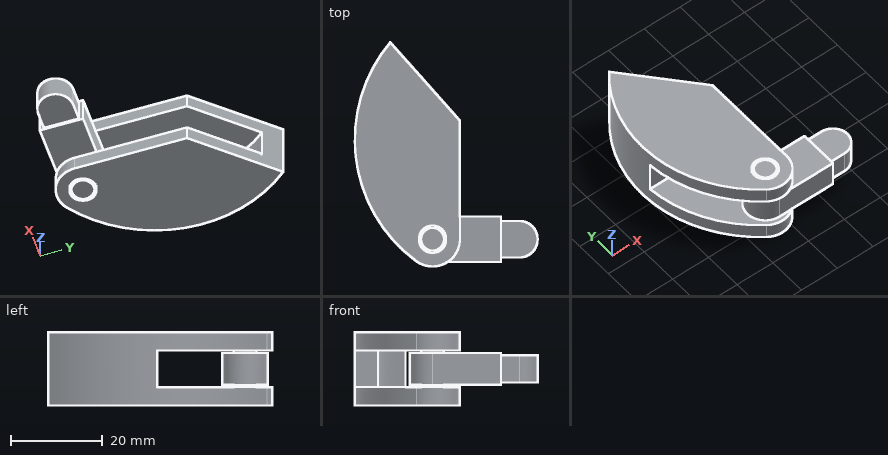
import cadquery as cq
import math


housing_length = 49
housing_height = 16.0
nose_radius = 6.0
apex_y = housing_length - nose_radius
straight_side_top_y = 25.9
back_radius = 32.95
back_left_x = -17.0
pivot_hole_diameter = 6.0

back_center_x = back_left_x + back_radius
back_center_y = math.sqrt((back_radius - nose_radius) ** 2 - back_center_x ** 2)

slot_height = 8.0
slot_wall_thickness = 5.0
slot_step_y = 19.15

arm_width = 10.0
arm_thickness = 7.0
arm_block_end_x = 15.0
tongue_width = 8.05
tongue_thickness = 6.0
arm_tip_x = 23.0
pin_diameter = 5.0


def centered_plate(outline, thickness):
    """Extrude a closed XY outline equally above and below Z = 0."""
    return outline.extrude(thickness / 2, both=True)


def make_housing_blank():
    apex_x = back_center_x - math.sqrt(back_radius ** 2 - (apex_y - back_center_y) ** 2)
    tangent_scale = nose_radius / (back_radius - nose_radius)
    tangent_point = (-back_center_x * tangent_scale, -back_center_y * tangent_scale)
    outline = (
        cq.Workplane("XY")
        .moveTo(nose_radius, 0)
        .lineTo(nose_radius, straight_side_top_y)
        .lineTo(apex_x, apex_y)
        .threePointArc((back_left_x, back_center_y), tangent_point)
        .threePointArc((0, -nose_radius), (nose_radius, 0))
        .close()
    )
    return centered_plate(outline, housing_height)


def make_slot_cutter():
    inner_disc = centered_plate(
        cq.Workplane("XY")
        .center(back_center_x, back_center_y)
        .circle(back_radius - slot_wall_thickness),
        slot_height,
    )
    lower_opening = centered_plate(
        cq.Workplane("XY")
        .moveTo(back_left_x, slot_step_y)
        .lineTo(nose_radius, slot_step_y)
        .lineTo(nose_radius, -nose_radius)
        .lineTo(back_left_x, -nose_radius)
        .close(),
        slot_height,
    )
    return inner_disc.union(lower_opening)


def make_housing():
    pivot_hole = centered_plate(cq.Workplane("XY").circle(pivot_hole_diameter / 2), housing_height)
    return make_housing_blank().cut(make_slot_cutter()).cut(pivot_hole)


def make_arm():
    half_width = arm_width / 2
    block = centered_plate(
        cq.Workplane("XY")
        .moveTo(0, -half_width)
        .lineTo(arm_block_end_x, -half_width)
        .lineTo(arm_block_end_x, half_width)
        .lineTo(0, half_width)
        .threePointArc((-half_width, 0), (0, -half_width))
        .close(),
        arm_thickness,
    )

    tip_radius = tongue_width / 2
    tip_center_x = arm_tip_x - tip_radius
    tongue = centered_plate(
        cq.Workplane("XY")
        .moveTo(arm_block_end_x, -tip_radius)
        .lineTo(tip_center_x, -tip_radius)
        .threePointArc((arm_tip_x, 0), (tip_center_x, tip_radius))
        .lineTo(arm_block_end_x, tip_radius)
        .close(),
        tongue_thickness,
    )

    pin = centered_plate(cq.Workplane("XY").circle(pin_diameter / 2), housing_height)
    return block.union(tongue).union(pin)


housing = make_housing()
arm = make_arm()

result = cq.Compound.makeCompound([housing.solids().val(), arm.solids().val()])